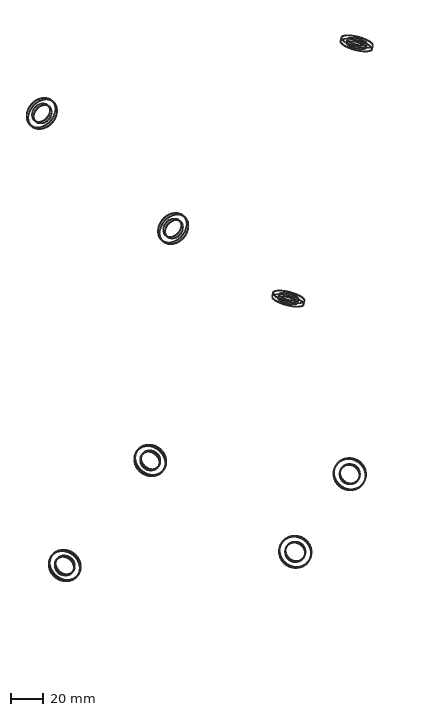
import cadquery as cq

overall_length = 175.3
outer_diameter = 20.3
bore_diameter = 12.6
washer_thickness = 2.5


def make_washer(start_x):
    """Flat washer with its axis along X, its -X face at start_x."""
    return (
        cq.Workplane("YZ", origin=(start_x, 0, 0))
        .circle(outer_diameter / 2)
        .circle(bore_diameter / 2)
        .extrude(washer_thickness)
    )


washer_starts = [-overall_length / 2, overall_length / 2 - washer_thickness]
washers = [make_washer(start_x) for start_x in washer_starts]

result = cq.Compound.makeCompound([washer.val() for washer in washers])